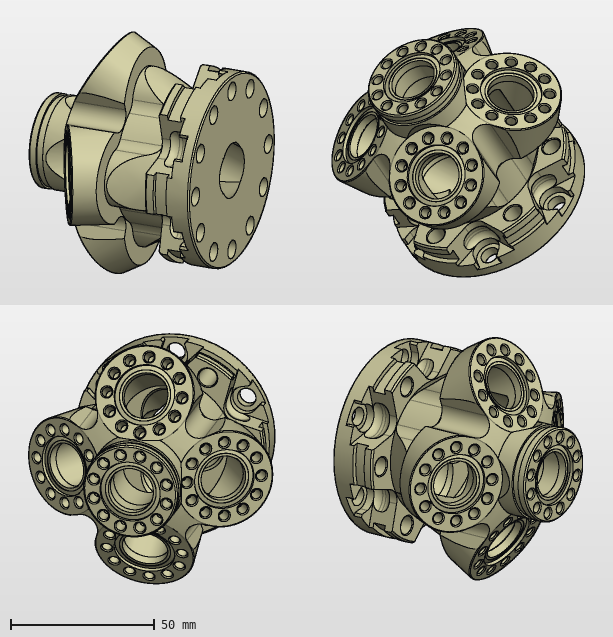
import cadquery as cq
import math


tube_face = 70.6
port_face = 57.35
head_rear = 33.4
flange_thickness = 17.1
port_tilt = 30
port_count = 4

bore_radius = 8.11
deep_bore_radius = 8.7
deep_bore_start = 4.2
recess_radius = 10.8
recess_depth = 1.3
knife_radius = 9.1
knife_depth = 0.9
shelf_depth = 1.1
bolt_count = 12
bolt_circle = 13.5
bolt_radius = 1.75
bolt_countersink = 0.4
bolt_depth = 7.0
drill_point_angle = 118

port_radius = 17.7
port_chamfer = 0.35
core_radius = 28.9
chamber_front = 45.2
chamber_rear = 19.3
chamber_radius = 23.0
chamber_fillet = 2.6
valley_radius = 5.0
valley_wall_angle = 20.0
valley_clearance = 15.8

tube_radius = 16.8
tube_chamfer = 0.5
tube_groove_front = 67.7
tube_groove_rear = 65.1
tube_groove_radius = 16.1

neck_radius = 24.1
lobe_tip = 33.1
lobe_radius = 10.5
lobe_fillet = 6.1

flange_radius = 34.8
flange_front_chamfer = 0.6
flange_rear_chamfer = 0.5
rim_groove_front = 13.8
rim_groove_rear = 8.8
rim_groove_radius = 33.15
slot_count = 6
slot_first_angle = 30
slot_floor = 7.0
flange_bolt_circle = 29.4
flange_bolt_radius = 3.29
flange_bolt_chamfer = 0.35
slot_radius = 5.0
bulge_radius = 6.4
bulge_length = 6.9
bulge_flat = 1.3
bulge_arc_radius = 3.5
notch_floor = 3.9
notch_mouth_along = 33.7
notch_mouth_half = 3.9
notch_taper = 15

past = 4.4

sin_tilt = math.sin(math.radians(port_tilt))
tan_tilt = math.tan(math.radians(port_tilt))
port_rim = port_radius - port_chamfer
dome_radius = math.hypot(port_face, port_rim)


def turned(points):
    """Solid turned about the X axis from (x, radius) points."""
    return cq.Workplane("XY").polyline(points).close().revolve(360, (0, 0, 0), (1, 0, 0))


def about_x(body, angle):
    return body.rotate((0, 0, 0), (1, 0, 0), angle)


def onto_port(body, index):
    """Tilt a body lying along -X onto one of the port axes."""
    tilted = body.rotate((0, 0, 0), (0, 1, 0), port_tilt)
    return about_x(tilted, index * 360 / port_count)


def dome_x(radius):
    """Distance along -X of the dome surface at a given radius from the X axis."""
    return math.sqrt(dome_radius ** 2 - radius ** 2)


def rod(front, rear, radius):
    """Cylinder on the X axis between two distances along -X."""
    return turned([(-front, 0), (-front, radius), (-rear, radius), (-rear, 0)])


def bore(face):
    """Stepped bore with its sealing recess, running from a face to the origin."""
    return turned([
        (-face - past, 0),
        (-face - past, recess_radius),
        (-face + recess_depth, recess_radius),
        (-face + knife_depth, knife_radius),
        (-face + shelf_depth, knife_radius),
        (-face + shelf_depth, bore_radius),
        (-face + deep_bore_start, bore_radius),
        (-face + deep_bore_start, deep_bore_radius),
        (past, deep_bore_radius),
        (past, 0),
    ])


def bolt_holes(face, first_angle):
    """Ring of blind, countersunk bolt holes in a sealing face, as a list of tools."""
    point = bolt_radius / math.tan(math.radians(drill_point_angle / 2))
    hole = turned([
        (-face, 0),
        (-face, bolt_radius + bolt_countersink),
        (-face + bolt_countersink, bolt_radius),
        (-face + bolt_depth, bolt_radius),
        (-face + bolt_depth + point, 0),
    ]).translate((0, 0, bolt_circle))
    return [about_x(hole, first_angle + i * 360 / bolt_count) for i in range(bolt_count)]


def all_bores():
    return [bore(tube_face)] + [onto_port(bore(port_face), i) for i in range(port_count)]


def chamber():
    """Round hollow inside head and neck, where all the bores meet."""
    return rod(chamber_front, chamber_rear, chamber_radius).faces("<X").edges().fillet(chamber_fillet)


def cut_all(body, tools):
    for tool in tools:
        body = body.cut(tool)
    return body


def valley():
    """Rounded wedge, running along X, that separates two neighbouring ports."""
    centre = valley_clearance + valley_radius
    wall = math.radians(valley_wall_angle)
    reach = 52.6
    near = valley_radius * math.cos(wall)
    far = valley_radius * math.sin(wall)
    start = (centre - near, centre + far)
    end = (start[1], start[0])
    bottom = centre - valley_radius * math.sqrt(0.5)
    outer_start = (start[0] + reach * math.sin(wall), start[1] + reach * math.cos(wall))
    outer_end = (outer_start[1], outer_start[0])
    return (
        cq.Workplane("YZ", origin=(-tube_face, 0, 0))
        .moveTo(*outer_start).lineTo(*start)
        .threePointArc((bottom, bottom), end)
        .lineTo(*outer_end).close()
        .extrude(tube_face)
    )


def port_clearances(radius):
    """Cylinders standing on the port faces, long enough to clear the central tube."""
    clearance = rod(tube_face + past, port_face, radius)
    return [onto_port(clearance, i) for i in range(port_count)]


def domed_core():
    """Cylinder with a spherical front that meets the rim of every port face."""
    middle = core_radius / 2
    dome = (
        cq.Workplane("XY")
        .moveTo(-dome_radius, 0)
        .threePointArc((-dome_x(middle), middle), (-dome_x(core_radius), core_radius))
        .lineTo(-head_rear, core_radius)
        .lineTo(-head_rear, 0).close()
        .revolve(360, (0, 0, 0), (1, 0, 0))
    )
    return cut_all(dome, port_clearances(port_radius))


def make_tube():
    """Grooved central tube, seated on the dome and scalloped to clear the port faces."""
    root = dome_x(core_radius)
    tube = turned([
        (-tube_face, 0),
        (-tube_face, tube_radius - tube_chamfer),
        (-tube_face + tube_chamfer, tube_radius),
        (-tube_groove_front, tube_radius),
        (-tube_groove_front, tube_groove_radius),
        (-tube_groove_rear, tube_groove_radius),
        (-tube_groove_rear, tube_radius),
        (-root, tube_radius),
        (-root, 0),
    ])
    tube = tube.cut(domed_core())
    tube = cut_all(tube, port_clearances(port_rim))
    tube = tube.cut(bore(tube_face))
    return cut_all(tube, bolt_holes(tube_face, 180 / bolt_count))


def port_head():
    """Four inclined ports round a domed core, parted by valleys."""
    port_root = head_rear - port_radius * sin_tilt
    port = turned([
        (-port_face, 0),
        (-port_face, port_rim),
        (-port_face + port_chamfer, port_radius),
        (-port_root, port_radius),
        (-port_root, 0),
    ])
    head = domed_core()
    for i in range(port_count):
        head = head.union(onto_port(port, i))
    head = head.intersect(rod(tube_face, head_rear, tube_face))
    return cut_all(head, [about_x(valley(), i * 360 / port_count) for i in range(port_count)])


def neck_lobes():
    """Two crossed round-ended bars, rising from the neck cylinder through hollow fillets."""
    length = head_rear - flange_thickness
    plane = cq.Workplane("YZ", origin=(-head_rear, 0, 0))
    lobe_centre = lobe_tip - lobe_radius
    bar = plane.slot2D(2 * lobe_tip, 2 * lobe_radius).extrude(length)
    body = plane.circle(neck_radius).extrude(length).union(bar).union(about_x(bar, 90))
    to_neck = neck_radius + lobe_fillet
    to_lobe = lobe_radius + lobe_fillet
    fillet_along = (lobe_centre ** 2 + to_neck ** 2 - to_lobe ** 2) / (2 * lobe_centre)
    fillet_height = math.sqrt(to_neck ** 2 - fillet_along ** 2)
    web = (
        plane.polyline([(0, 0), (lobe_centre, 0), (fillet_along, fillet_height)]).close()
        .extrude(length)
        .cut(plane.center(fillet_along, fillet_height).circle(lobe_fillet).extrude(length))
    )
    web = web.union(web.mirror("XZ"))
    web = web.union(web.mirror("XY"))
    return body.union(web).union(about_x(web, 90))


def lobed_neck():
    """Lobed bar trimmed by a cone that narrows to the flange."""
    length = head_rear - flange_thickness
    cone = turned([
        (-head_rear, 0),
        (-head_rear, neck_radius + length * tan_tilt),
        (-flange_thickness, neck_radius),
        (-flange_thickness, 0),
    ])
    return neck_lobes().intersect(cone)


def make_manifold():
    """Port head and neck in one piece, with all bores and the port bolt holes."""
    manifold = port_head().union(lobed_neck()).cut(chamber())
    manifold = cut_all(manifold, all_bores())
    for i in range(port_count):
        manifold = cut_all(manifold, [onto_port(hole, i) for hole in bolt_holes(port_face, 0)])
    return manifold


def slot():
    """Right-angled V slot with a rounded bottom concentric with its bolt hole."""
    tangent_along = flange_bolt_circle - slot_radius * math.sqrt(0.5)
    tangent_half = slot_radius * math.sqrt(0.5)
    reach = flange_radius
    return (
        cq.Workplane("YZ", origin=(-flange_thickness - past, 0, 0))
        .moveTo(tangent_along, tangent_half)
        .threePointArc((flange_bolt_circle - slot_radius, 0), (tangent_along, -tangent_half))
        .lineTo(tangent_along + reach, -tangent_half - reach)
        .lineTo(tangent_along + reach, tangent_half + reach).close()
        .extrude(flange_thickness + past - slot_floor)
    )


def bulge():
    """Round-shouldered undercut in the slot wall, turned about the bolt axis."""
    middle = -slot_floor - bulge_length / 2
    rise = bulge_radius - slot_radius
    run = (bulge_length - bulge_flat) / 2
    half_turn = math.atan2(run, bulge_arc_radius - rise) / 2
    arc_x = bulge_flat / 2 + bulge_arc_radius * math.sin(half_turn)
    arc_r = bulge_radius - bulge_arc_radius * (1 - math.cos(half_turn))
    return (
        cq.Workplane("XY")
        .moveTo(middle - bulge_length / 2, 0)
        .lineTo(middle - bulge_length / 2, slot_radius)
        .threePointArc((middle - arc_x, arc_r), (middle - bulge_flat / 2, bulge_radius))
        .lineTo(middle + bulge_flat / 2, bulge_radius)
        .threePointArc((middle + arc_x, arc_r), (middle + bulge_length / 2, slot_radius))
        .lineTo(middle + bulge_length / 2, 0).close()
        .revolve(360, (0, 0, 0), (1, 0, 0))
        .translate((0, flange_bolt_circle, 0))
    )


def notch():
    """Keyhole notch in the slot floor, narrowing towards the rim and flared at its mouth."""
    taper = math.radians(notch_taper)
    tangent_along = flange_bolt_circle + slot_radius * math.sin(taper)
    tangent_half = slot_radius * math.cos(taper)
    return (
        cq.Workplane("YZ", origin=(-slot_floor, 0, 0))
        .moveTo(tangent_along, tangent_half)
        .threePointArc((flange_bolt_circle - slot_radius, 0), (tangent_along, -tangent_half))
        .lineTo(notch_mouth_along, -notch_mouth_half)
        .lineTo(notch_mouth_along + past, -notch_mouth_half - past)
        .lineTo(notch_mouth_along + past, notch_mouth_half + past)
        .lineTo(notch_mouth_along, notch_mouth_half).close()
        .extrude(slot_floor - notch_floor)
    )


def flange_bolt_hole():
    wide = flange_bolt_radius + flange_bolt_chamfer
    return turned([
        (-flange_thickness, 0),
        (-flange_thickness, wide),
        (-flange_thickness + flange_bolt_chamfer, flange_bolt_radius),
        (0, flange_bolt_radius),
        (0, 0),
    ]).translate((0, flange_bolt_circle, 0))


def make_flange():
    """Rear flange: a disc whose grooved front is cut into teeth by radial slots."""
    flange = turned([
        (-flange_thickness, 0),
        (-flange_thickness, flange_radius - flange_front_chamfer),
        (-flange_thickness + flange_front_chamfer, flange_radius),
        (-rim_groove_front, flange_radius),
        (-rim_groove_front, rim_groove_radius),
        (-rim_groove_rear, rim_groove_radius),
        (-rim_groove_rear, flange_radius),
        (-flange_rear_chamfer, flange_radius),
        (0, flange_radius - flange_rear_chamfer),
        (0, 0),
    ])
    pitch = 360 / slot_count
    for i in range(slot_count):
        slot_angle = slot_first_angle + i * pitch
        flange = cut_all(flange, [about_x(tool, slot_angle) for tool in (slot(), bulge(), notch())])
    hole = flange_bolt_hole()
    flange = cut_all(flange, [about_x(hole, i * pitch / 2) for i in range(2 * slot_count)])
    return cut_all(flange, all_bores())


tube = make_tube()
manifold = make_manifold()
flange = make_flange()
result = cq.Compound.makeCompound([tube.val(), manifold.val(), flange.val()])